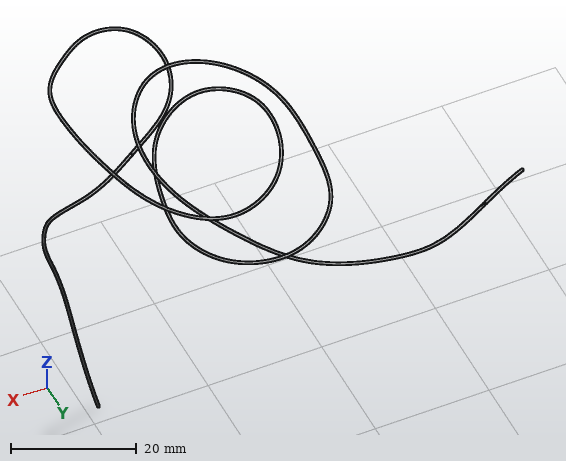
import cadquery as cq

WIRE_DIAMETER = 0.5

LEAD_IN = [
    (0, 0, 0),
    (10.9, 5.4, 0),
    (19.9, 9.6, 0.6),
    (28.3, 11.0, 2.5),
    (42.5, 9.1, 6.4),
    (53.5, 2.9, 12.8),
]
OUTER_LOOP = [
    (61.6, -5.3, 20.45),
    (62.7, -9.7, 23.2),
    (61.6, -14.7, 25.5),
    (57.8, -19, 27.1),
    (51.2, -21.4, 26.7),
    (44.7, -20.3, 25.15),
    (37.3, -13.6, 21.6),
    (34.9, -3.7, 16.9),
    (35.65, 4.0, 12.8),
    (42.5, 8.9, 9.8),
    (49.0, 9.4, 9.6),
    (56.8, 6.9, 11.2),
    (61.1, 1.2, 13.75),
]
INNER_LOOP = [
    (61.7, -3.7, 17.1),
    (59.45, -11.0, 22.0),
    (55.0, -14.4, 24.3),
    (48.5, -15.7, 24.9),
    (40.8, -11.9, 22.3),
    (39.8, -7.0, 19.9),
    (43.3, -0.2, 16.9),
    (52.3, 3.1, 15.5),
    (60.5, 1.2, 17.6),
]
END_LOOP = [
    (65.4, -2.6, 20.1),
    (69.2, -7.5, 23.3),
    (72.5, -16.8, 26.6),
    (72.7, -22.3, 28.1),
    (67.6, -28.3, 28.5),
    (61.6, -31.6, 28.4),
    (55.0, -30.85, 27.3),
    (51.5, -23.9, 24.9),
    (52.7, -19.6, 23.1),
    (62.2, -12.1, 21.1),
    (73.65, -6.7, 19.9),
]
TAIL = [
    (76.9, -6.4, 19.2),
    (79.8, -6.8, 17.5),
    (80.4, -7.9, 14.0),
    (79.35, -10.0, 7.2),
    (76.9, -12.3, 0),
    (69.85, -20.45, -22.6),
    (58.1, -35.2, -61.6),
]


def bend_wire(places, diameter):
    """Sweep a round section along a smooth curve through the given places."""
    centreline = cq.Edge.makeSpline([cq.Vector(*place) for place in places])
    end_plane = cq.Plane(origin=places[0], normal=centreline.tangentAt(0).toTuple())
    path = cq.Workplane(obj=cq.Wire.assembleEdges([centreline]))
    return cq.Workplane(end_plane).circle(diameter / 2).sweep(path, isFrenet=True)


result = bend_wire(LEAD_IN + OUTER_LOOP + INNER_LOOP + END_LOOP + TAIL, WIRE_DIAMETER)